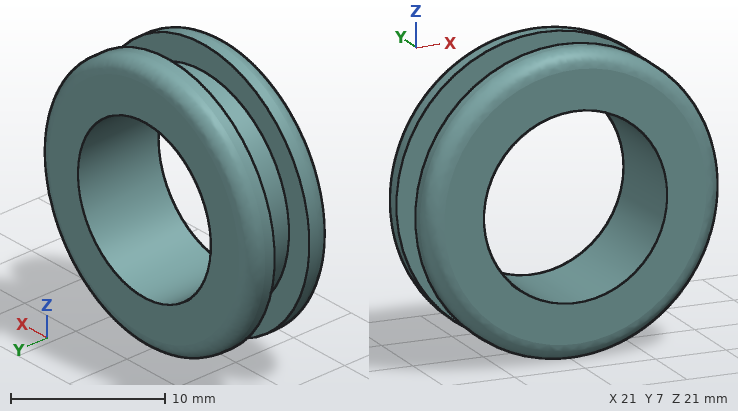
import cadquery as cq

outer_diameter = 21.0
bore_diameter = 13.0
groove_diameter = 17.0
total_width = 7.0
groove_width = 3.0
rim_radius = 1.2

flange_width = (total_width - groove_width) / 2


def disc(diameter, width):
    """Solid disc around the Y axis, centred on the origin."""
    return cq.Workplane("XZ").circle(diameter / 2).extrude(width / 2, both=True)


def flange(side):
    """Flange at the -Y (side = -1) or +Y (side = 1) end, its outer rim rounded."""
    centre_y = side * (groove_width + flange_width) / 2
    outer_face = ">Y" if side > 0 else "<Y"
    body = disc(outer_diameter, flange_width).faces(outer_face).edges().fillet(rim_radius)
    return body.translate((0, centre_y, 0))


body = disc(groove_diameter, total_width)
for side in (-1, 1):
    body = body.union(flange(side))

result = body.cut(disc(bore_diameter, total_width))